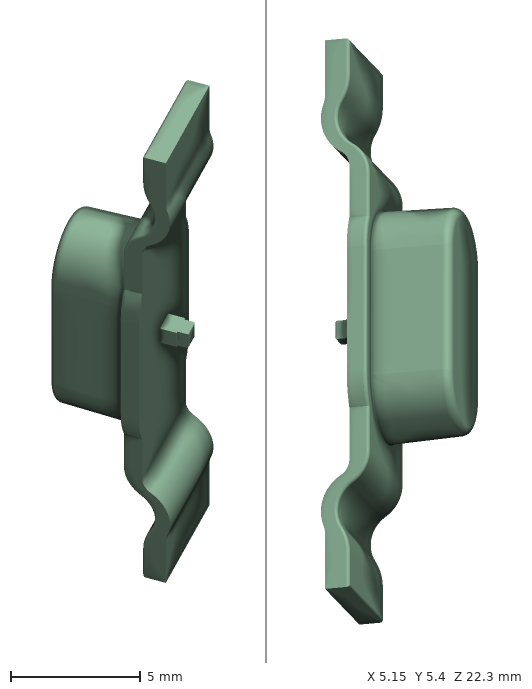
import cadquery as cq
import math

plate_thickness = 0.8
plate_front = -plate_thickness
strip_width = 4.7
strip_half_length = 11.16
edge_round = 0.13

tab_front = 0.0
tab_rear = 0.98

front_hump_radius = 1.3
front_hump_x = -0.81
rear_hump_radius = 1.65
rear_hump_x = -0.5
hump_z = 8.0
front_plate_radius = 1.5
front_tab_radius = 2.0
rear_plate_radius = 0.7
rear_tab_radius = 1.0

oblong_half_straight = 2.54
flange_radius = 2.7

button_base_radius = 2.1
button_height = 3.2
button_draft = 1.6
button_edge_round = 0.35
button_foot_round = 0.06

pin_height = 0.74
pin_base_width = 0.9
pin_base_length = 0.7
pin_tip_width = 0.74
pin_length = 1.15
pin_edge_round = 0.06


def bend_side(face_plate_x, face_tab_x, hump_x, hump_radius, plate_radius, tab_radius):
    """Ends and midpoints of the three tangent arcs joining the plate to the tab, going up."""
    plate_x = face_plate_x + plate_radius
    tab_x = face_tab_x + tab_radius
    plate_reach = hump_radius + plate_radius
    tab_reach = hump_radius + tab_radius
    low_angle = math.acos((plate_x - hump_x) / plate_reach)
    high_angle = math.acos((tab_x - hump_x) / tab_reach)
    plate_z = hump_z - plate_reach * math.sin(low_angle)
    tab_z = hump_z + tab_reach * math.sin(high_angle)

    def on_hump(angle):
        return (hump_x + hump_radius * math.cos(angle), hump_z + hump_radius * math.sin(angle))

    def on_outer(center_x, center_z, radius, angle):
        return (center_x - radius * math.cos(angle), center_z + radius * math.sin(angle))

    return [
        (face_plate_x, plate_z),
        on_outer(plate_x, plate_z, plate_radius, low_angle / 2),
        on_hump(-low_angle),
        on_hump((high_angle - low_angle) / 2),
        on_hump(high_angle),
        on_outer(tab_x, tab_z, tab_radius, -high_angle / 2),
        (face_tab_x, tab_z),
    ]


def add_arcs(outline, points):
    """Draw a line to the first point, then arcs through each following pair of points."""
    outline = outline.lineTo(*points[0])
    for middle, end in zip(points[1::2], points[2::2]):
        outline = outline.threePointArc(middle, end)
    return outline


def make_half_strip():
    """Upper half of the bent strip, from Z = 0 to the end of the tab."""
    front = bend_side(
        plate_front, tab_front, front_hump_x, front_hump_radius, front_plate_radius, front_tab_radius
    )
    rear = bend_side(0.0, tab_rear, rear_hump_x, rear_hump_radius, rear_plate_radius, rear_tab_radius)
    outline = cq.Workplane("XZ").moveTo(plate_front, 0)
    outline = add_arcs(outline, front)
    outline = outline.lineTo(tab_front, strip_half_length).lineTo(tab_rear, strip_half_length)
    outline = add_arcs(outline, rear[::-1])
    return outline.lineTo(0, 0).close().extrude(strip_width / 2, both=True)


def oblong(plane_x, radius):
    """Upright oblong outline on a plane facing -X."""
    plane = cq.Plane(origin=(plane_x, 0, 0), xDir=(0, 0, 1), normal=(-1, 0, 0))
    return cq.Workplane(plane).slot2D(2 * (oblong_half_straight + radius), 2 * radius)


def make_plate():
    """Bent strip with its flange, rounded along the edges of its front face and tab ends."""
    upper = make_half_strip()
    flange = oblong(0, flange_radius).extrude(plate_thickness)
    plate = upper.union(upper.mirror("XY")).union(flange).clean()
    rim = plate.faces("<X").edges()
    tab_end_edges = plate.faces(">Z or <Z").edges("<X")
    return rim.add(tab_end_edges).fillet(edge_round)


def make_button():
    """Drafted oblong button, rounded along its front edge."""
    button = oblong(plate_front, button_base_radius).extrude(button_height, taper=button_draft)
    return button.faces("<X").edges().fillet(button_edge_round)


def round_button_foot(body):
    """Small fillet where the button meets the plate."""
    reach_y = (button_base_radius + flange_radius) / 2
    reach_z = oblong_half_straight + reach_y
    slack = 0.1 * edge_round
    foot_region = cq.selectors.BoxSelector(
        (plate_front - slack, -reach_y, -reach_z),
        (plate_front + slack, reach_y, reach_z),
        boundingbox=True,
    )
    return body.edges(foot_region).fillet(button_foot_round)


def make_pin():
    """Rectangular pin with a narrower tip."""
    base = cq.Workplane("YZ").rect(pin_base_width, pin_height).extrude(pin_base_length)
    tip = cq.Workplane("YZ").rect(pin_tip_width, pin_height).extrude(pin_length)
    tip = tip.faces(">X").edges().fillet(pin_edge_round)
    return base.union(tip)


body = make_plate().union(make_button())
result = round_button_foot(body).union(make_pin())